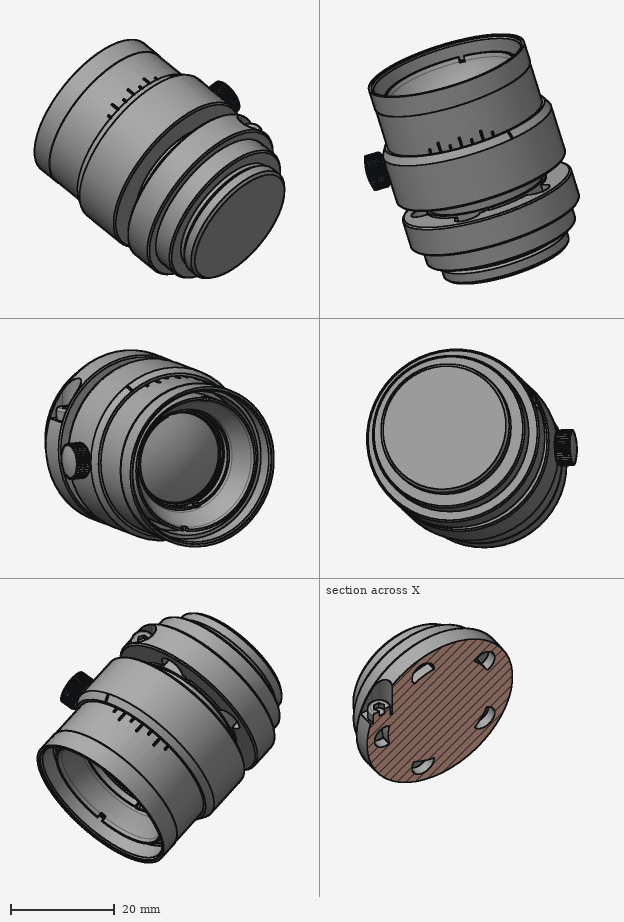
import cadquery as cq
import math

LENGTH = 40.65

HOOD_LENGTH = 4.1
HOOD_RADIUS = 15.705
BARREL_RADIUS = 15.6

IRIS_START = 12.3
IRIS_CONE_END = 13.8
IRIS_END = 23.5
IRIS_NOSE_RADIUS = 16.15
RING_RADIUS = 34.0 / 2
RING_CHAMFER = 0.33

NECK_STEP_START = 24.15
NECK_STEP_END = 24.55
NECK_SMALL_RADIUS = 22.3 / 2
NECK_RADIUS = 23.0 / 2
FLANGE_START = 26.4
FLANGE_RADIUS = 12.05
FLANGE_NOTCH_WIDTH = 0.85
FLANGE_NOTCH_COUNT = 4

FOCUS_START = 26.85
FOCUS_END = 32.8
SHOULDER_RADIUS = 30.0 / 2
SHOULDER_END = 36.85
RELIEF_RADIUS = 12.2
RELIEF_END = 37.75
MOUNT_RADIUS = 12.65
MOUNT_CHAMFER = 0.53

FOCUS_HOLE_COUNT = 5
FOCUS_HOLE_RADIUS = 2.5
FOCUS_HOLE_PITCH_RADIUS = 12.65
FOCUS_HOLE_DEPTH = 4.05

RIM_RADIUS = 15.2
RIM_DEPTH = 0.25
RIM_CHAMFER_END = 0.55
BORE_RADIUS = 14.87
BORE_FLOOR = 3.8
STEP_RADIUS = 14.15
STEP_FLOOR = 8.95
TUBE_OUTER_RADIUS = 13.12
TUBE_INNER_RADIUS = 12.7
TUBE_FRONT = 2.5
FUNNEL_START = 3.3
FUNNEL_LARGE_RADIUS = 12.4
FUNNEL_END = 6.95
FUNNEL_SMALL_RADIUS = 10.15
FUNNEL_BOW = 0.2

RETAINER_FRONT = 7.5
RETAINER_OUTER_RADIUS = 19.8 / 2
RETAINER_RADIUS = 19.0 / 2
RETAINER_END = 8.9
GLASS_SEAT = 9.25
GLASS_SEAT_OUTER_RADIUS = 9.4
GLASS_SEAT_RADIUS = 18.0 / 2
GLASS_SEAT_END = 9.75
GLASS_EDGE = 9.9
GLASS_RADIUS = 8.8
GLASS_APEX = 7.5

TUBE_SLOT_WIDTH = 1.1
TUBE_SLOT_ANGLE = 10.0
RETAINER_SLOT_WIDTH = 1.0
RETAINER_SLOT_ANGLE = -18.0
SLOT_DEPTH = 1.0
SLOT_REACH = 0.4

KNOB_X = 16.4
KNOB_RADIUS = 3.45
KNOB_BASE = 17.3
KNOB_EDGE = 20.3
KNOB_TOP = 37.95 - RING_RADIUS
KNOB_CHAMFER = 0.35
KNOB_STEM_RADIUS = 2.0 / 2
KNOB_STEM_START = 16.25
KNURL_COUNT = 40
KNURL_DEPTH = 0.3

SCREW_X = (FOCUS_START + FOCUS_END) / 2
SCREW_Y = 13.5
POCKET_WIDTH = 5.05
POCKET_FLOOR = 5.25
SCREW_HEAD_RADIUS = 4.5 / 2
SCREW_HEAD_TOP = 7.55
SCREW_HEAD_FILLET = 0.45
HEX_ACROSS_FLATS = 2.0
HEX_DEPTH = 1.2

MARK_WIDTH = 0.33
MARK_DEPTH = 0.1
MARK_PITCH = 8.0
MARK_FIRST_ANGLE = 22.0
MARK_COUNT = 7
SHORT_MARK = (11.3, 12.15)
LONG_MARK = (10.28, IRIS_START)
INDEX_ANGLE = 32.7


def dome_midpoint(radius, edge, apex):
    """(radius, height) of a point on a spherical cap, at half the cap's radius."""
    rise = apex - edge
    sphere = (radius**2 + rise**2) / (2 * rise)
    drop = sphere - math.copysign(math.sqrt(sphere**2 - (radius / 2) ** 2), sphere)
    return radius / 2, apex - drop


def turned_body():
    """The whole barrel as one half-profile revolved about X."""
    rear_radius = MOUNT_RADIUS - MOUNT_CHAMFER
    glass_mid = dome_midpoint(GLASS_RADIUS, GLASS_EDGE, GLASS_APEX)
    funnel_mid = (
        (FUNNEL_START + FUNNEL_END) / 2,
        (FUNNEL_LARGE_RADIUS + FUNNEL_SMALL_RADIUS) / 2 + FUNNEL_BOW,
    )
    profile = (
        cq.Workplane("XY")
        .moveTo(0, RIM_RADIUS)
        .lineTo(0, HOOD_RADIUS)
        .lineTo(HOOD_LENGTH, HOOD_RADIUS)
        .lineTo(HOOD_LENGTH, BARREL_RADIUS)
        .lineTo(IRIS_START, BARREL_RADIUS)
        .lineTo(IRIS_START, IRIS_NOSE_RADIUS)
        .lineTo(IRIS_CONE_END, RING_RADIUS)
        .lineTo(IRIS_END - RING_CHAMFER, RING_RADIUS)
        .lineTo(IRIS_END, RING_RADIUS - RING_CHAMFER)
        .lineTo(IRIS_END, NECK_SMALL_RADIUS)
        .lineTo(NECK_STEP_START, NECK_SMALL_RADIUS)
        .lineTo(NECK_STEP_END, NECK_RADIUS)
        .lineTo(FLANGE_START, NECK_RADIUS)
        .lineTo(FLANGE_START, FLANGE_RADIUS)
        .lineTo(FOCUS_START, FLANGE_RADIUS)
        .lineTo(FOCUS_START, RING_RADIUS - RING_CHAMFER)
        .lineTo(FOCUS_START + RING_CHAMFER, RING_RADIUS)
        .lineTo(FOCUS_END - RING_CHAMFER, RING_RADIUS)
        .lineTo(FOCUS_END, RING_RADIUS - RING_CHAMFER)
        .lineTo(FOCUS_END, SHOULDER_RADIUS)
        .lineTo(SHOULDER_END - RING_CHAMFER, SHOULDER_RADIUS)
        .lineTo(SHOULDER_END, SHOULDER_RADIUS - RING_CHAMFER)
        .lineTo(SHOULDER_END, RELIEF_RADIUS)
        .lineTo(RELIEF_END, RELIEF_RADIUS)
        .lineTo(RELIEF_END + MOUNT_CHAMFER, MOUNT_RADIUS)
        .lineTo(LENGTH - MOUNT_CHAMFER, MOUNT_RADIUS)
        .lineTo(LENGTH, rear_radius)
        .lineTo(LENGTH, 0)
        .lineTo(GLASS_APEX, 0)
        .threePointArc((glass_mid[1], glass_mid[0]), (GLASS_EDGE, GLASS_RADIUS))
        .lineTo(GLASS_SEAT_END, GLASS_SEAT_RADIUS)
        .lineTo(GLASS_SEAT, GLASS_SEAT_RADIUS)
        .lineTo(GLASS_SEAT, GLASS_SEAT_OUTER_RADIUS)
        .lineTo(RETAINER_END, RETAINER_RADIUS)
        .lineTo(RETAINER_FRONT, RETAINER_RADIUS)
        .lineTo(RETAINER_FRONT, RETAINER_OUTER_RADIUS)
        .lineTo(FUNNEL_END, FUNNEL_SMALL_RADIUS)
        .threePointArc(funnel_mid, (FUNNEL_START, FUNNEL_LARGE_RADIUS))
        .lineTo(TUBE_FRONT, TUBE_INNER_RADIUS)
        .lineTo(TUBE_FRONT, TUBE_OUTER_RADIUS)
        .lineTo(STEP_FLOOR, TUBE_OUTER_RADIUS)
        .lineTo(STEP_FLOOR, STEP_RADIUS)
        .lineTo(BORE_FLOOR, STEP_RADIUS)
        .lineTo(BORE_FLOOR, BORE_RADIUS)
        .lineTo(RIM_CHAMFER_END, BORE_RADIUS)
        .lineTo(RIM_DEPTH, RIM_RADIUS)
        .close()
    )
    return profile.revolve(360, (0, 0, 0), (1, 0, 0))


def knob():
    """Domed knob with V-grooved knurling, on a stem rooted in the iris ring."""
    r = KNOB_RADIUS
    body = (
        cq.Workplane("XY")
        .moveTo(0, KNOB_BASE)
        .lineTo(r - KNOB_CHAMFER, KNOB_BASE)
        .lineTo(r, KNOB_BASE + KNOB_CHAMFER)
        .lineTo(r, KNOB_EDGE)
        .threePointArc(dome_midpoint(r, KNOB_EDGE, KNOB_TOP), (0, KNOB_TOP))
        .close()
        .revolve(360, (0, 0, 0), (0, 1, 0))
    )
    knurls = (
        cq.Workplane("XZ")
        .polarArray(r, 0, 360, KNURL_COUNT)
        .polygon(4, 2 * KNURL_DEPTH)
        .extrude(-KNOB_TOP)
    )
    stem = (
        cq.Workplane("XZ", origin=(0, KNOB_STEM_START, 0))
        .circle(KNOB_STEM_RADIUS)
        .extrude(KNOB_STEM_START - KNOB_EDGE)
    )
    return body.cut(knurls).union(stem).translate((KNOB_X, 0, 0))


def radial_slots(start, depth, radius, width, angle, count):
    """Cutters for evenly spaced slots across a round wall; angle runs from +Z toward -Y."""
    length = 2 * SLOT_REACH
    slot = cq.Workplane("XY").box(depth, width, length, centered=(False, True, True))
    slot = slot.translate((start, 0, radius))
    cutters = cq.Workplane("XY")
    for index in range(count):
        turn = angle + index * 360 / count
        cutters = cutters.add(slot.rotate((0, 0, 0), (1, 0, 0), turn))
    return cutters.combine()


def tube_slots():
    """Two spanner slots through the front rim of the inner tube."""
    middle = (TUBE_OUTER_RADIUS + FUNNEL_LARGE_RADIUS) / 2
    return radial_slots(TUBE_FRONT, SLOT_DEPTH, middle, TUBE_SLOT_WIDTH, TUBE_SLOT_ANGLE, 2)


def retainer_slots():
    """Two spanner slots in the front face of the retaining ring."""
    middle = (RETAINER_OUTER_RADIUS + RETAINER_RADIUS) / 2
    return radial_slots(
        RETAINER_FRONT, SLOT_DEPTH, middle, RETAINER_SLOT_WIDTH, RETAINER_SLOT_ANGLE, 2
    )


def flange_notches():
    """Notches through the thin flange, down to the neck."""
    depth = FOCUS_START - FLANGE_START
    middle = NECK_RADIUS + SLOT_REACH
    return radial_slots(FLANGE_START, depth, middle, FLANGE_NOTCH_WIDTH, 0, FLANGE_NOTCH_COUNT)


def focus_holes():
    """Blind holes in the front face of the focus ring, kept clear of the neck inside it."""
    holes = (
        cq.Workplane("YZ", origin=(FOCUS_START, 0, 0))
        .polarArray(FOCUS_HOLE_PITCH_RADIUS, 0, 360, FOCUS_HOLE_COUNT)
        .circle(FOCUS_HOLE_RADIUS)
        .extrude(FOCUS_HOLE_DEPTH)
    )
    core = cq.Workplane("YZ", origin=(FOCUS_START, 0, 0)).circle(FLANGE_RADIUS)
    return holes.cut(core.extrude(FOCUS_HOLE_DEPTH))


def clamp_pocket():
    """Flat-floored pocket: round toward the axis and open toward +Y."""
    half_width = POCKET_WIDTH / 2
    opening = RING_RADIUS - SCREW_Y
    return (
        cq.Workplane("XY", origin=(SCREW_X, SCREW_Y, POCKET_FLOOR))
        .moveTo(-half_width, opening)
        .lineTo(-half_width, 0)
        .threePointArc((0, -half_width), (half_width, 0))
        .lineTo(half_width, opening)
        .close()
        .extrude(RING_RADIUS - POCKET_FLOOR)
    )


def clamp_screw():
    """Socket-head screw standing on the pocket floor, with a hexagonal recess."""
    return (
        cq.Workplane("XY", origin=(SCREW_X, SCREW_Y, POCKET_FLOOR))
        .circle(SCREW_HEAD_RADIUS)
        .extrude(SCREW_HEAD_TOP - POCKET_FLOOR)
        .faces(">Z")
        .edges()
        .fillet(SCREW_HEAD_FILLET)
        .faces(">Z")
        .workplane()
        .polygon(6, HEX_ACROSS_FLATS, circumscribed=True)
        .cutBlind(-HEX_DEPTH)
    )


def aperture_marks():
    """Short and long marks in turn along the barrel, starting and ending with a short one."""
    marks = cq.Workplane("XY")
    for index in range(MARK_COUNT):
        start, end = LONG_MARK if index % 2 else SHORT_MARK
        angle = MARK_PITCH * index - MARK_FIRST_ANGLE
        middle = BARREL_RADIUS - MARK_DEPTH + SLOT_REACH
        marks = marks.add(radial_slots(start, end - start, middle, MARK_WIDTH, angle, 2))
    return marks.combine()


def index_lines():
    """Grooves cut along the cone of the iris ring."""
    line = (
        cq.Workplane("XZ")
        .moveTo(IRIS_START, IRIS_NOSE_RADIUS - MARK_DEPTH)
        .lineTo(IRIS_CONE_END, RING_RADIUS - MARK_DEPTH)
        .lineTo(IRIS_CONE_END, RING_RADIUS + MARK_DEPTH)
        .lineTo(IRIS_START, RING_RADIUS + MARK_DEPTH)
        .close()
        .extrude(MARK_WIDTH / 2, both=True)
        .rotate((0, 0, 0), (1, 0, 0), -INDEX_ANGLE)
    )
    return line.union(line.rotate((0, 0, 0), (1, 0, 0), 180))


result = turned_body()
for cutter in (
    tube_slots(),
    retainer_slots(),
    flange_notches(),
    focus_holes(),
    clamp_pocket(),
    aperture_marks(),
    index_lines(),
):
    result = result.cut(cutter)
result = result.union(clamp_screw()).union(knob())